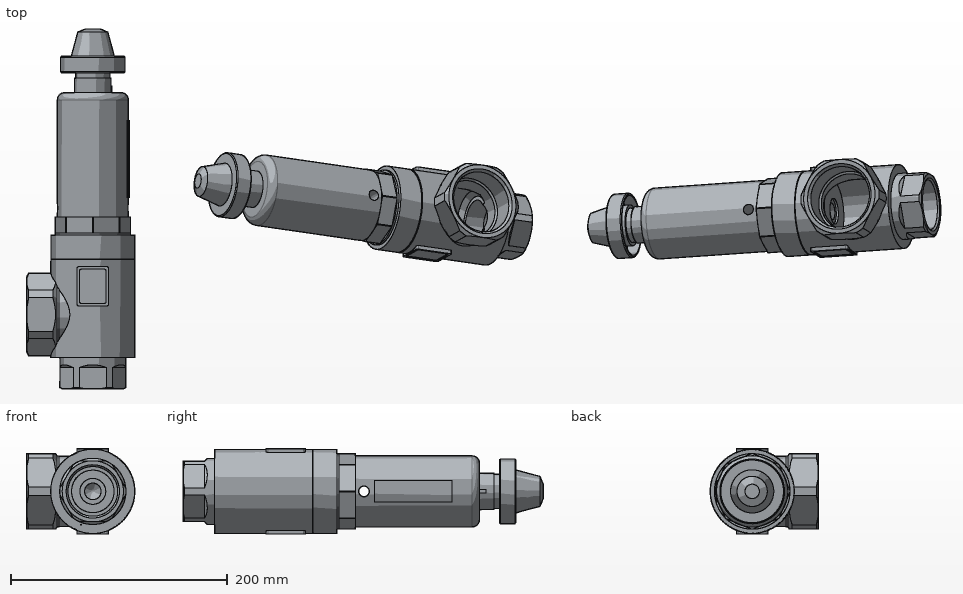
import cadquery as cq
import math

LENGTH = 332.0
WIDTH = 100.0
HEIGHT = 79.0
FLATS_END_Y = 19.5
SLOPE_END_Y = 25.0
SHOULDER_Y = 29.0
SEAT_Y = 45.0
CHAMBER_Y = 49.8
OUTLET_Y = 68.7
DISC_Y = 94.3
COLLAR_Y = 120.0
BONNET_Y = 141.8
BARREL_Y = 158.7
CROSS_HOLE_Y = 166.5
BARREL_TOP_Y = 273.2
STEM_STEP_Y = 286.5
KNOB_Y = 291.5
CONE_Y = 306.8
CONE_TOP_Y = 329.0

CHAMFER_SLOPE = math.tan(math.radians(30))

BODY_RADIUS = 77.7 / 2
BODY_EDGE_CHAMFER = 0.5
CHAMBER_RADIUS = 28.0
INLET_RADIUS = 30.5
INLET_FLATS = 55.8
INLET_BORE_RADIUS = 23.0
INLET_BORE_DEPTH = 26.5
INLET_MOUTH_RADIUS = 24.5
SEAT_RADIUS = 19.5
INLET_FACE_CHAMFER = 1.3

OUTLET_REACH = WIDTH - BODY_RADIUS
OUTLET_FLATS = 69.7
OUTLET_HEX_LENGTH = 30.0
OUTLET_CORNER_RADIUS = 38.2
OUTLET_FACE_CHAMFER = 2.0
OUTLET_BACK_RADIUS = 33.0
OUTLET_BACK_SLOPE_START = 24.2
OUTLET_BACK_SLOPE_END = 28.2
OUTLET_NECK_RADIUS = 32.5
OUTLET_BORE_RADIUS = 28.5
OUTLET_BORE_DEPTH = 25.2
OUTLET_STEP_LENGTH = 1.3
OUTLET_MOUTH_RADIUS = 31.0
OUTLET_PASSAGE_RADIUS = 26.5

PAD_WIDTH = 29.2
PAD_LENGTH = 36.2
PAD_CENTER_Y = 94.5
PAD_CORNER_RADIUS = 1.5
PAD_DEPTH = 6.5
PAD_RIM = 2.3
PAD_POCKET_DEPTH = 0.5

DISC_RECESS_RADIUS = 12.0
DISC_RECESS_DEPTH = 2.0
DISC_CONE_RADIUS = 7.5
DISC_CONE_DEPTH = 4.3

BARREL_RADIUS = 33.0
BARREL_FILLET = 7.0
FLANGE_RADIUS = 35.0
FLANGE_LIP = 2.0
OCTAGON_FLATS = 64.7
CROSS_HOLE_DIAMETER = 9.5

PLATE_START_Y = 176.3
PLATE_END_Y = 247.7
PLATE_THICKNESS = 1.0
PLATE_HEIGHT = 20.0

STEM_RADIUS = 17.0
STEM_NECK_RADIUS = 16.0
STEM_LUG_REACH = 17.5
STEM_LUG_LENGTH = 6.0
STEM_LUG_WIDTH = 3.3

KNOB_RADIUS = 30.0
KNOB_EDGE_CHAMFER = 1.0
KNOB_CUP_RADIUS = 27.5
KNOB_CUP_DEPTH = 11.5
KNOB_BOSS_RADIUS = 19.0
CONE_BASE_RADIUS = 20.0
CONE_TOP_RADIUS = 14.0
TIP_RADIUS = 6.5


def turned(points):
    """Solid of revolution about the Y axis from (radius, y) points."""
    return cq.Workplane("XY").polyline(points).close().revolve(360, (0, 0, 0), (0, 1, 0))


def rod(radius, start, end):
    """Cylinder about the Y axis between two stations."""
    return turned([(0, start), (radius, start), (radius, end), (0, end)])


def prism(sides, flats, start, end, taper=0.0):
    """Regular prism along Y with a corner on the X axis."""
    corner_diameter = flats / math.cos(math.pi / sides)
    return (
        cq.Workplane("ZX", origin=(0, start, 0))
        .transformed(rotate=(0, 0, 90))
        .polygon(sides, corner_diameter)
        .extrude(end - start, taper=taper)
    )


def make_inlet():
    """Round neck whose end carries six flats that run out on a 45 degree slope."""
    chamfer_start = INLET_RADIUS - INLET_FACE_CHAMFER / CHAMFER_SLOPE
    spigot = turned([
        (0, 0),
        (chamfer_start, 0),
        (INLET_RADIUS, INLET_FACE_CHAMFER),
        (INLET_RADIUS, SLOPE_END_Y),
        (0, SLOPE_END_Y),
    ])
    straight = prism(6, INLET_FLATS, 0, FLATS_END_Y)
    sloped = prism(6, INLET_FLATS, FLATS_END_Y, SLOPE_END_Y, taper=-45)
    neck = rod(INLET_RADIUS, SLOPE_END_Y, SHOULDER_Y + 3.3)
    return spigot.intersect(straight.union(sloped)).union(neck)


def make_outlet():
    """Hexagonal branch with turned corners, built along Y with its face at y = 0."""
    hexagon = prism(6, OUTLET_FLATS, 0, OUTLET_HEX_LENGTH)
    envelope = turned([
        (0, 0),
        (OUTLET_CORNER_RADIUS - OUTLET_FACE_CHAMFER / CHAMFER_SLOPE, 0),
        (OUTLET_CORNER_RADIUS, OUTLET_FACE_CHAMFER),
        (OUTLET_CORNER_RADIUS, OUTLET_BACK_SLOPE_START),
        (OUTLET_BACK_RADIUS, OUTLET_BACK_SLOPE_END),
        (OUTLET_BACK_RADIUS, OUTLET_HEX_LENGTH),
        (0, OUTLET_HEX_LENGTH),
    ])
    neck = rod(OUTLET_NECK_RADIUS, 3.3, OUTLET_REACH)
    return hexagon.intersect(envelope).union(neck)


def make_outlet_bore():
    """Chamfered bore that narrows to the passage into the chamber, face at y = 0."""
    return turned([
        (0, 0),
        (OUTLET_MOUTH_RADIUS, 0),
        (OUTLET_BORE_RADIUS, OUTLET_MOUTH_RADIUS - OUTLET_BORE_RADIUS),
        (OUTLET_BORE_RADIUS, OUTLET_BORE_DEPTH),
        (OUTLET_PASSAGE_RADIUS, OUTLET_BORE_DEPTH + OUTLET_STEP_LENGTH),
        (OUTLET_PASSAGE_RADIUS, OUTLET_REACH),
        (0, OUTLET_REACH),
    ])


def place_outlet(shape):
    """Turn a branch shape from +Y to +X and move its face to the outlet face."""
    return shape.rotate((0, 0, 0), (0, 0, 1), -90).translate((-OUTLET_REACH, OUTLET_Y, 0))


def make_main_bore():
    """Inlet bore, valve seat and chamber, open at the collar end."""
    return turned([
        (0, 0),
        (INLET_MOUTH_RADIUS, 0),
        (INLET_BORE_RADIUS, INLET_MOUTH_RADIUS - INLET_BORE_RADIUS),
        (INLET_BORE_RADIUS, INLET_BORE_DEPTH),
        (SEAT_RADIUS, INLET_BORE_DEPTH),
        (SEAT_RADIUS, SEAT_Y),
        (CHAMBER_RADIUS - (CHAMBER_Y - SEAT_Y), SEAT_Y),
        (CHAMBER_RADIUS, CHAMBER_Y),
        (CHAMBER_RADIUS, COLLAR_Y),
        (0, COLLAR_Y),
    ])


def pad_block(margin, bottom, top):
    """Rounded block for the pad, its outline drawn in by the margin."""
    return (
        cq.Workplane("XY", origin=(0, PAD_CENTER_Y, bottom))
        .rect(PAD_WIDTH - 2 * margin, PAD_LENGTH - 2 * margin)
        .extrude(top - bottom)
        .edges("|Z")
        .fillet(PAD_CORNER_RADIUS)
    )


def make_housing():
    body = rod(BODY_RADIUS, SHOULDER_Y, COLLAR_Y).faces(">Y").chamfer(BODY_EDGE_CHAMFER)
    body = body.union(make_inlet()).union(place_outlet(make_outlet()))
    pad_top = HEIGHT / 2
    pad = pad_block(0, pad_top - PAD_DEPTH, pad_top)
    pocket = pad_block(PAD_RIM, pad_top - PAD_POCKET_DEPTH, pad_top)
    body = body.union(pad).union(pad.mirror("XY"))
    body = body.cut(pocket).cut(pocket.mirror("XY"))
    return body.cut(make_main_bore()).cut(place_outlet(make_outlet_bore()))


def make_disc():
    """Valve disc with a stepped, cone-bottomed recess facing the inlet."""
    recess_floor = DISC_Y + DISC_RECESS_DEPTH
    return turned([
        (0, recess_floor + DISC_CONE_DEPTH),
        (DISC_CONE_RADIUS, recess_floor),
        (DISC_RECESS_RADIUS, recess_floor),
        (DISC_RECESS_RADIUS, DISC_Y),
        (CHAMBER_RADIUS, DISC_Y),
        (CHAMBER_RADIUS, COLLAR_Y),
        (0, COLLAR_Y),
    ])


def make_collar():
    return rod(BODY_RADIUS, COLLAR_Y, BONNET_Y)


def make_bonnet():
    """Barrel on a round flange milled to eight flats, with a cross hole along X."""
    barrel = rod(BARREL_RADIUS, BARREL_Y, BARREL_TOP_Y).faces(">Y").edges().fillet(BARREL_FILLET)
    flats_start = BONNET_Y + FLANGE_LIP
    lip = rod(FLANGE_RADIUS, BONNET_Y, flats_start)
    octagon = prism(8, OCTAGON_FLATS, flats_start, BARREL_Y)
    octagon = octagon.intersect(rod(FLANGE_RADIUS, flats_start, BARREL_Y))
    cross_hole = (
        cq.Workplane("YZ", origin=(-BARREL_RADIUS, CROSS_HOLE_Y, 0))
        .circle(CROSS_HOLE_DIAMETER / 2)
        .extrude(2 * BARREL_RADIUS)
    )
    return barrel.union(octagon).union(lip).cut(cross_hole)


def make_name_plate():
    """Thin plate that follows the curve of the barrel."""
    sleeve = rod(BARREL_RADIUS + PLATE_THICKNESS, PLATE_START_Y, PLATE_END_Y)
    sleeve = sleeve.cut(rod(BARREL_RADIUS, PLATE_START_Y, PLATE_END_Y))
    length = PLATE_END_Y - PLATE_START_Y
    window = cq.Workplane("XY").box(2 * BARREL_RADIUS, length, PLATE_HEIGHT)
    window = window.translate((BARREL_RADIUS, PLATE_START_Y + length / 2, 0))
    return sleeve.intersect(window)


def make_stem():
    """Stepped stem from the bonnet up to the level of the knob cup floor, with a small lug."""
    neck_end = KNOB_Y + KNOB_CUP_DEPTH
    stem = rod(STEM_RADIUS, BARREL_TOP_Y, STEM_STEP_Y)
    stem = stem.union(rod(STEM_NECK_RADIUS, STEM_STEP_Y, neck_end))
    lug = cq.Workplane("XY").box(STEM_LUG_REACH, STEM_LUG_LENGTH, STEM_LUG_WIDTH)
    lug = lug.translate((STEM_LUG_REACH / 2, BARREL_TOP_Y + STEM_LUG_LENGTH / 2, 0))
    return stem.union(lug)


def make_knob():
    """Tapered grip with a slightly domed tip on a flange with a cup around a stem boss underneath."""
    flange = rod(KNOB_RADIUS, KNOB_Y, CONE_Y).edges().chamfer(KNOB_EDGE_CHAMFER)
    grip = turned([
        (0, CONE_Y),
        (CONE_BASE_RADIUS, CONE_Y),
        (CONE_TOP_RADIUS, CONE_TOP_Y),
        (TIP_RADIUS, LENGTH),
        (0, LENGTH),
    ])
    cup_floor = KNOB_Y + KNOB_CUP_DEPTH
    cup = rod(KNOB_CUP_RADIUS, KNOB_Y, cup_floor).cut(rod(KNOB_BOSS_RADIUS, KNOB_Y, cup_floor))
    stem_hole = rod(STEM_NECK_RADIUS, KNOB_Y, cup_floor)
    return flange.union(grip).cut(cup).cut(stem_hole)


housing = make_housing()
disc = make_disc()
collar = make_collar()
bonnet = make_bonnet()
name_plate = make_name_plate()
stem = make_stem()
knob = make_knob()

result = cq.Compound.makeCompound([
    housing.val(),
    disc.val(),
    collar.val(),
    bonnet.val(),
    name_plate.val(),
    stem.val(),
    knob.val(),
])